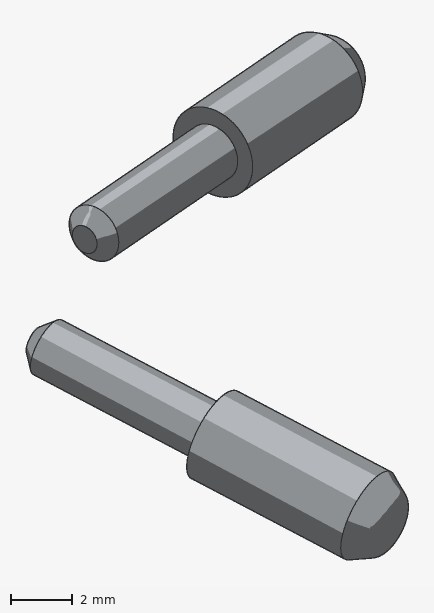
import cadquery as cq
import math

total_length = 14.0
body_length = 7.0
body_radius = 3.2 / 2
shank_radius = 2.0 / 2
shank_chamfer = 0.5
nose_length = 1.0
nose_half_angle = math.radians(30)
nose_fillet = 0.6

nose_flat_radius = body_radius - nose_length * math.tan(nose_half_angle)

shank_end = body_length - total_length
half_section = (
    cq.Workplane("XY")
    .moveTo(0, shank_end)
    .lineTo(shank_radius - shank_chamfer, shank_end)
    .lineTo(shank_radius, shank_end + shank_chamfer)
    .lineTo(shank_radius, 0)
    .lineTo(body_radius, 0)
    .lineTo(body_radius, body_length - nose_length)
    .lineTo(nose_flat_radius, body_length)
    .lineTo(0, body_length)
    .close()
)
pin = half_section.revolve(360, (0, 0, 0), (0, 1, 0))

result = pin.faces(">Y").edges().fillet(nose_fillet)